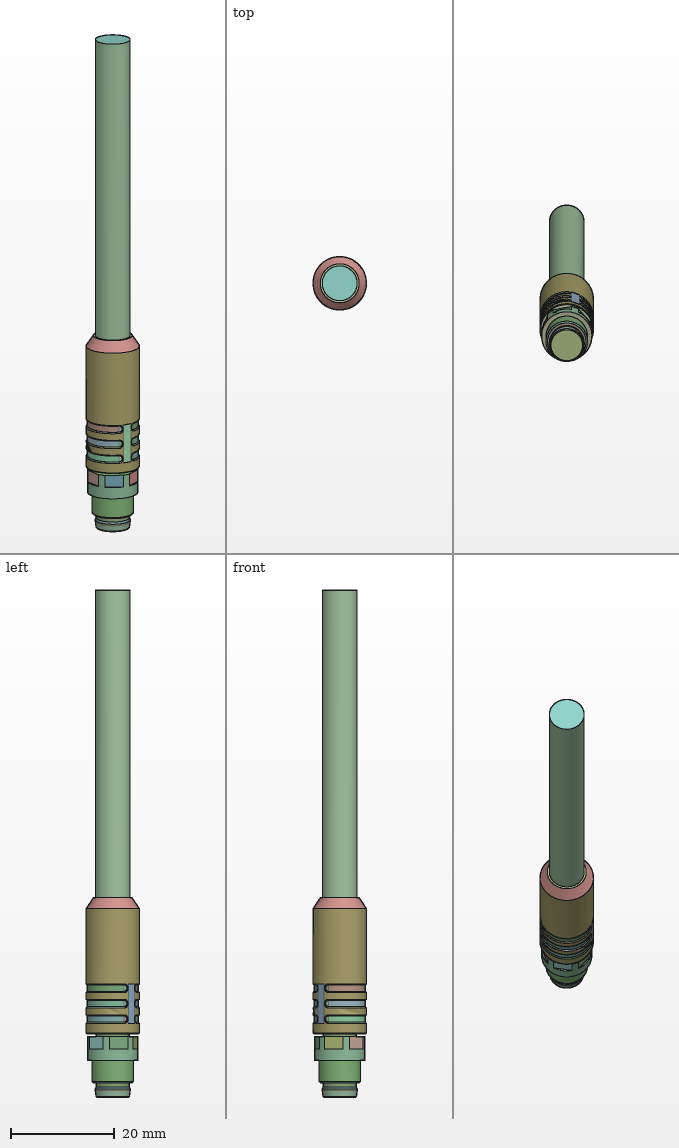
import cadquery as cq
import math


cable_radius = 3.35
cable_top = 97.55
cable_bottom = 20.0

housing_radius = 5.15
housing_bottom = 12.2
housing_chamfer = 0.15
housing_top = 38.4
shoulder_height = 2.1
shoulder_top_radius = 3.75

groove_count = 3
groove_depth = 0.22
groove_overcut = 0.1
groove_floor_height = 1.2
groove_height = groove_floor_height + 2 * groove_depth
groove_pitch = 2.97
floor_radius = housing_radius - groove_depth
overcut_radius = housing_radius + groove_overcut
floor_half_height = groove_floor_height / 2
mouth_half_height = floor_half_height + overcut_radius - floor_radius
grip_bottom = 14.25
grip_height = groove_pitch * (groove_count - 1) + groove_height
grip_flat_distance = 5.08
grip_flat_half_width = math.sqrt(housing_radius**2 - grip_flat_distance**2)
grip_flat_angles = (45, 225)
groove_end_angle = math.degrees(math.asin((grip_flat_half_width + groove_height / 2) / housing_radius))
groove_sweep = 360 / len(grip_flat_angles) - 2 * groove_end_angle

nut_radius = 4.85
nut_top = 11.7
nut_bottom = 7.1
flats_bottom = 9.35
across_flats = 9.0
flat_count = 6
first_flat_angle = 15
sleeve_radius = 4.0
sleeve_bottom = 2.8
sleeve_chamfer = 0.3

carrier_radius = 3.22
carrier_top = 15.0
bead_radius = 3.38
bead_top = 2.0
bead_rim_top = 1.6
bead_rim_bottom = 1.3
tip_radius = 3.25
tip_chamfer = 0.2


def cylinder(radius, bottom, top):
    """Solid cylinder on the Z axis between two heights."""
    return cq.Workplane("XY").workplane(offset=bottom).circle(radius).extrude(top - bottom)


def revolved(profile):
    """Solid of revolution about Z from (radius, height) points."""
    return cq.Workplane("XZ").polyline(profile).close().revolve(360, (0, 0, 0), (0, 1, 0))


def grip_flats():
    """Slabs that shave the shallow flats into the housing."""
    slab = cq.Workplane("XY").box(
        housing_radius, housing_radius, grip_height, centered=(False, True, False)
    ).translate((grip_flat_distance, 0, grip_bottom))
    flats = cq.Workplane("XY")
    for angle in grip_flat_angles:
        flats = flats.add(slab.rotate((0, 0, 0), (0, 0, 1), angle))
    return flats.combine()


def groove_end():
    """Conical end of a groove, pointing outward along +X at Z = 0."""
    return cq.Workplane("XZ").polyline([
        (floor_radius, 0),
        (floor_radius, floor_half_height),
        (overcut_radius, mouth_half_height),
        (overcut_radius, 0),
    ]).close().revolve(360, (0, 0, 0), (1, 0, 0))


def grip_groove():
    """Cutter for one groove at Z = 0: 45-degree flanks, from one flat round to the next."""
    arc = cq.Workplane("XZ").polyline([
        (floor_radius, -floor_half_height),
        (overcut_radius, -mouth_half_height),
        (overcut_radius, mouth_half_height),
        (floor_radius, floor_half_height),
    ]).close().revolve(groove_sweep, (0, 0, 0), (0, -1, 0))
    end = groove_end()
    return arc.union(end).union(end.rotate((0, 0, 0), (0, 0, 1), -groove_sweep))


def make_cable():
    return cylinder(cable_radius, cable_bottom, cable_top)


def make_housing(cable, carrier):
    shoulder_bottom = housing_top - shoulder_height
    housing = revolved([
        (0, housing_bottom),
        (housing_radius - housing_chamfer, housing_bottom),
        (housing_radius, housing_bottom + housing_chamfer),
        (housing_radius, shoulder_bottom),
        (shoulder_top_radius, housing_top),
        (0, housing_top),
    ])
    housing = housing.cut(grip_flats())
    for level in range(groove_count):
        height = grip_bottom + groove_height / 2 + level * groove_pitch
        groove = grip_groove().translate((0, 0, height))
        for angle in grip_flat_angles:
            housing = housing.cut(groove.rotate((0, 0, 0), (0, 0, 1), angle - groove_end_angle))
    return housing.cut(cable).cut(carrier)


def make_nut():
    nut = cylinder(nut_radius, nut_bottom, nut_top)
    slab = cq.Workplane("XY").box(
        nut_radius, 2 * nut_radius, nut_top - flats_bottom, centered=(False, True, False)
    ).translate((across_flats / 2, 0, flats_bottom))
    for index in range(flat_count):
        angle = first_flat_angle + index * 360 / flat_count
        nut = nut.cut(slab.rotate((0, 0, 0), (0, 0, 1), angle))
    sleeve = cylinder(sleeve_radius, sleeve_bottom, nut_top)
    sleeve = sleeve.faces("<Z").chamfer(sleeve_chamfer)
    bore = cylinder(carrier_radius, sleeve_bottom, nut_top)
    return nut.union(sleeve).cut(bore)


def make_carrier():
    return revolved([
        (0, 0),
        (tip_radius - tip_chamfer, 0),
        (tip_radius, tip_chamfer),
        (bead_radius, bead_rim_bottom),
        (bead_radius, bead_rim_top),
        (carrier_radius, bead_top),
        (carrier_radius, carrier_top),
        (0, carrier_top),
    ])


cable = make_cable()
carrier = make_carrier()
housing = make_housing(cable, carrier)
nut = make_nut()

result = cq.Compound.makeCompound([cable.val(), housing.val(), nut.val(), carrier.val()])